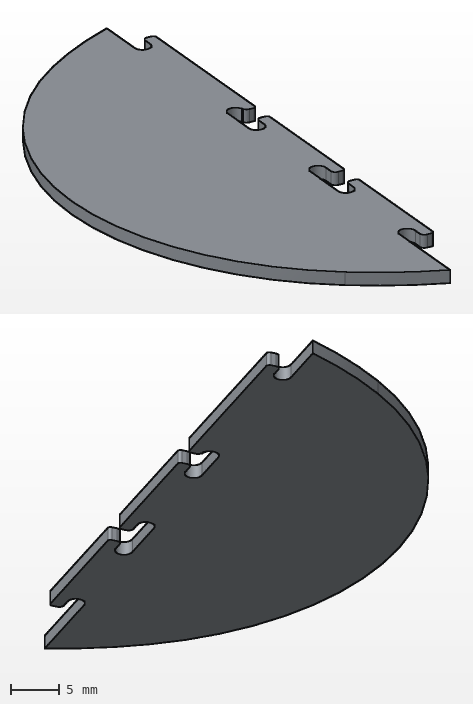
import cadquery as cq

width = 69.15
thickness = 1.5
depth = 28.3
tab_height = 3.3
segment_depth = depth - tab_height

rim_joint_x = 29.4
rim_joint_y = -9.6
end_arc_mid_x = 32.3
end_arc_mid_y = -4.9

tabs = [
    (-30.5, -28.0, -11.1, -9.95),
    (-7.6, -5.05, 5.45, 7.95),
    (10.45, 12.9, 23.45, 25.85),
]
undercut_height = 1.9
undercut_radius = undercut_height / 2
tip_top_radius = 0.35
tip_bottom_radius = 0.55


def segment_plate():
    half = width / 2
    return (
        cq.Workplane("XY")
        .moveTo(-half, 0)
        .threePointArc((-end_arc_mid_x, end_arc_mid_y), (-rim_joint_x, rim_joint_y))
        .threePointArc((0, -segment_depth), (rim_joint_x, rim_joint_y))
        .threePointArc((end_arc_mid_x, end_arc_mid_y), (half, 0))
        .close()
        .extrude(thickness)
    )


def block(left, right, bottom, top):
    return (
        cq.Workplane("XY")
        .moveTo(left, bottom)
        .lineTo(right, bottom)
        .lineTo(right, top)
        .lineTo(left, top)
        .close()
        .extrude(thickness)
    )


def tab_bar(left_tip, right_tip):
    """Cross bar of a tab, with rounded tips."""
    bar = block(left_tip, right_tip, undercut_height, tab_height)
    bar = bar.edges("|Z and <Y").fillet(tip_bottom_radius)
    return bar.edges("|Z and >Y").fillet(tip_top_radius)


def tab_neck(left_neck, right_neck):
    """Neck of a tab, with a half-round undercut on each side."""
    left_flare = left_neck - undercut_radius
    right_flare = right_neck + undercut_radius
    return (
        cq.Workplane("XY")
        .moveTo(left_flare, 0)
        .lineTo(right_flare, 0)
        .threePointArc((right_neck, undercut_radius), (right_flare, undercut_height))
        .lineTo(left_flare, undercut_height)
        .threePointArc((left_neck, undercut_radius), (left_flare, 0))
        .close()
        .extrude(thickness)
    )


result = segment_plate()
for left_tip, left_neck, right_neck, right_tip in tabs:
    result = result.union(tab_neck(left_neck, right_neck))
    result = result.union(tab_bar(left_tip, right_tip))